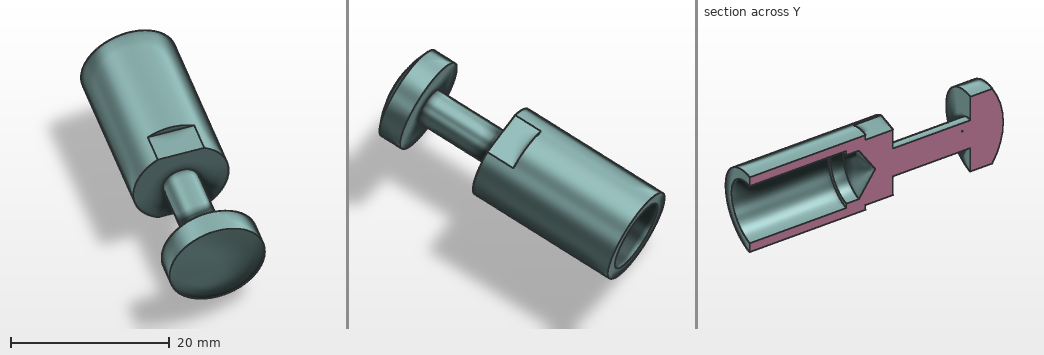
import cadquery as cq

total_length = 36.5
outer_diameter = 12.7

sleeve_length = 20.63
flat_length = 3.95
across_flats = 11.1
bore_diameter = 9.55
bore_depth = 13.87
pilot_diameter = 8.1
pilot_depth = 15.7
drill_tip_depth = 2.35

stem_diameter = 4.8
head_rim_length = 3.18
dome_height = 1.6

outer_radius = outer_diameter / 2
bore_radius = bore_diameter / 2
pilot_radius = pilot_diameter / 2
stem_radius = stem_diameter / 2
dome_start = total_length - dome_height
head_start = dome_start - head_rim_length
dome_radius = (outer_radius**2 + dome_height**2) / (2 * dome_height)
dome_mid_radius = outer_radius / 2
dome_mid_x = total_length - dome_radius + (dome_radius**2 - dome_mid_radius**2) ** 0.5


def revolve_about_x(profile):
    return profile.close().revolve(360, (0, 0, 0), (1, 0, 0))


def make_body():
    profile = (
        cq.Workplane("XY")
        .lineTo(0, outer_radius)
        .lineTo(sleeve_length, outer_radius)
        .lineTo(sleeve_length, stem_radius)
        .lineTo(head_start, stem_radius)
        .lineTo(head_start, outer_radius)
        .lineTo(dome_start, outer_radius)
        .threePointArc((dome_mid_x, dome_mid_radius), (total_length, 0))
    )
    return revolve_about_x(profile)


def make_bore():
    profile = (
        cq.Workplane("XY")
        .lineTo(0, bore_radius)
        .lineTo(bore_depth, bore_radius)
        .lineTo(bore_depth, pilot_radius)
        .lineTo(pilot_depth, pilot_radius)
        .lineTo(pilot_depth + drill_tip_depth, 0)
    )
    return revolve_about_x(profile)


def make_flat_cutter(side):
    """Block outside one wrench flat: side is +1 for the top, -1 for the bottom."""
    cutter_height = outer_diameter - across_flats
    center_x = sleeve_length - flat_length / 2
    center_z = side * (across_flats + cutter_height) / 2
    return cq.Workplane("XY").box(flat_length, outer_diameter, cutter_height).translate((center_x, 0, center_z))


result = make_body().cut(make_bore())
for side in (1, -1):
    result = result.cut(make_flat_cutter(side))